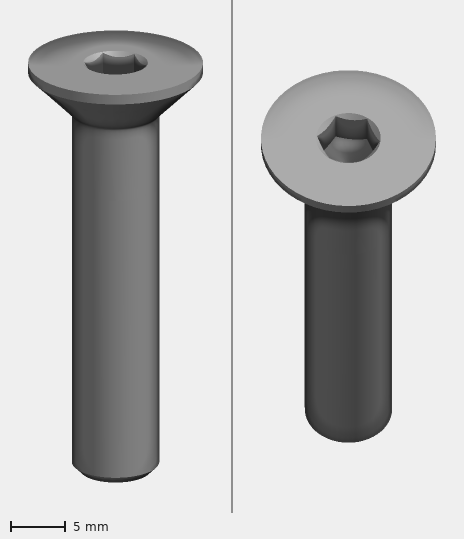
import cadquery as cq
import math

LENGTH = 40.0
HEAD_RADIUS = 8.0
SHANK_RADIUS = 4.0
RIM_HEIGHT = 0.95
NECK_FILLET = 0.3
THREAD_LENGTH = 28.0
TIP_RADIUS = 3.233
TAPER_ANGLE = 45.0

SOCKET_FLATS = 5.0
SOCKET_DEPTH = 3.0
LEAD_IN_RADIUS = 2.95
LEAD_IN_HALF_ANGLE = 45.0
FLOOR_HALF_ANGLE = 60.0
FLOOR_FLAT_RADIUS = 0.43

rim_bottom = LENGTH - RIM_HEIGHT
neck_height = rim_bottom - (HEAD_RADIUS - SHANK_RADIUS) / math.tan(math.radians(TAPER_ANGLE))
tip_chamfer = (SHANK_RADIUS - TIP_RADIUS) / math.tan(math.radians(TAPER_ANGLE))
socket_corner_radius = SOCKET_FLATS / math.sqrt(3)


def revolve_profile(points):
    """Turn an outline of (radius, height) points about the Z axis."""
    return cq.Workplane("XZ").polyline(points).close().revolve(360, (0, 0, 0), (0, 1, 0))


def make_body():
    """Head, plain neck, thread-diameter shank and chamfered tip with a rounded neck."""
    turn = math.radians(TAPER_ANGLE)
    tangent = NECK_FILLET * math.tan(turn / 2)
    arc_center_radius = SHANK_RADIUS + NECK_FILLET
    arc_start = (SHANK_RADIUS, neck_height - tangent)
    arc_middle = (
        arc_center_radius - NECK_FILLET * math.cos(turn / 2),
        arc_start[1] + NECK_FILLET * math.sin(turn / 2),
    )
    arc_end = (
        arc_center_radius - NECK_FILLET * math.cos(turn),
        arc_start[1] + NECK_FILLET * math.sin(turn),
    )
    return (
        cq.Workplane("XZ")
        .lineTo(TIP_RADIUS, 0)
        .lineTo(SHANK_RADIUS, tip_chamfer)
        .lineTo(SHANK_RADIUS, THREAD_LENGTH)
        .lineTo(*arc_start)
        .threePointArc(arc_middle, arc_end)
        .lineTo(HEAD_RADIUS, rim_bottom)
        .lineTo(HEAD_RADIUS, LENGTH)
        .lineTo(0, LENGTH)
        .close()
        .revolve(360, (0, 0, 0), (0, 1, 0), clean=False)
    )


def make_socket():
    """Hexagonal recess with a conical floor ending in a small flat."""
    floor_edge = LENGTH - SOCKET_DEPTH
    floor_drop = (socket_corner_radius - FLOOR_FLAT_RADIUS) / math.tan(math.radians(FLOOR_HALF_ANGLE))
    floor_bottom = floor_edge - floor_drop
    hexagon = (
        cq.Workplane("XY", origin=(0, 0, floor_bottom))
        .polygon(6, 2 * socket_corner_radius)
        .extrude(LENGTH - floor_bottom)
    )
    floor_envelope = revolve_profile([
        (0, floor_bottom),
        (FLOOR_FLAT_RADIUS, floor_bottom),
        (socket_corner_radius, floor_edge),
        (socket_corner_radius, LENGTH),
        (0, LENGTH),
    ])
    return hexagon.intersect(floor_envelope)


def make_lead_in():
    """Conical chamfer around the mouth of the socket."""
    cone_depth = LEAD_IN_RADIUS / math.tan(math.radians(LEAD_IN_HALF_ANGLE))
    return revolve_profile([(0, LENGTH - cone_depth), (LEAD_IN_RADIUS, LENGTH), (0, LENGTH)])


result = make_body().cut(make_socket(), clean=False).cut(make_lead_in(), clean=False)